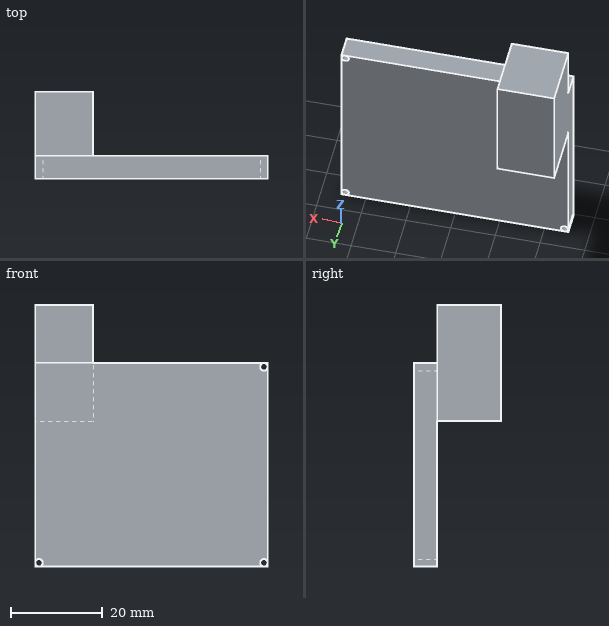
import cadquery as cq

plate_width = 50.8
plate_height = 44.45
plate_thickness = 5.1

total_height = 57.15
total_depth = 19.05
block_width = 12.7
block_height = 25.4
block_depth = total_depth - plate_thickness

hole_diameter = 1.6
hole_inset = 0.85

plate = cq.Workplane("XY").box(plate_width, plate_thickness, plate_height, centered=False)

block = (
    cq.Workplane("XY")
    .box(block_width, block_depth, block_height, centered=False)
    .translate((0, plate_thickness, total_height - block_height))
)

left = hole_inset
right = plate_width - hole_inset
bottom = hole_inset
top = plate_height - hole_inset

holes = (
    cq.Workplane("XZ")
    .pushPoints([(left, bottom), (right, bottom), (right, top)])
    .circle(hole_diameter / 2)
    .extrude(-plate_thickness)
)

result = plate.union(block).cut(holes)